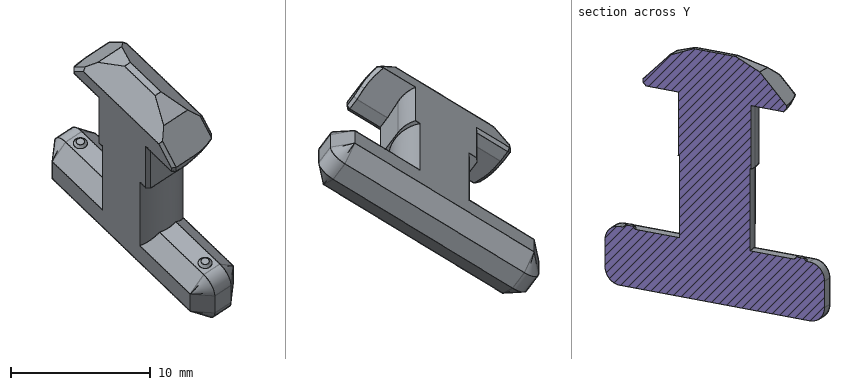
import cadquery as cq
import math

thickness = 4.0
total_height = 19.05
half_thickness = thickness / 2

foot_length = 18.0
foot_height = 4.5
foot_bevel = 1.25

pip_spacing = 14.0
pip_radius = 0.5
pip_height = 0.2

neck_radius = 2.9
shank_half_width = 3.0
shank_bottom = 10.7
shank_round_start = 0.5
shank_front_half_width = 2.5

head_radius = 5.88
head_bottom = 15.28
head_end_top = 16.03
head_shoulder_x = 3.7
head_crest_half_length = 1.72
head_crest_half_width = 0.27
edge_chamfer = 0.25
end_round_depth = head_radius - math.sqrt(head_radius**2 - half_thickness**2)

ramp_start = 0.83
ramp_angle = math.radians(15)
ramp_rise = (half_thickness + ramp_start) * math.tan(ramp_angle)

tolerance = 1e-4


def both_ways(shape):
    """Join a shape with its copy turned half a turn about Z."""
    return shape.union(shape.rotate((0, 0, 0), (0, 0, 1), 180))


def box_between(x0, x1, y0, y1, z0, z1):
    """Box given by its limits along each axis."""
    box = cq.Workplane("XY").box(x1 - x0, y1 - y0, z1 - z0, centered=False)
    return box.translate((x0, y0, z0))


def bevelled_bar(plane, width, length):
    """Bar extruded both ways from the plane, its four long edges bevelled."""
    bar = cq.Workplane(plane).rect(thickness, width).extrude(length / 2, both=True)
    lengthwise = {"YZ": "|X", "YX": "|Z"}[plane]
    return bar.edges(lengthwise).chamfer(foot_bevel)


def make_foot():
    """Bevelled bar with rounded ends; each corner is a quarter double cone about Y."""
    corner_x = foot_length / 2 - foot_bevel
    corner_z = foot_height / 2 - foot_bevel
    rim_y = half_thickness - foot_bevel
    foot = bevelled_bar("YZ", foot_height, 2 * corner_x)
    foot = foot.union(bevelled_bar("YX", foot_length, 2 * corner_z))
    corner = (
        cq.Workplane("XY")
        .moveTo(0, -half_thickness)
        .lineTo(foot_bevel, -rim_y)
        .lineTo(foot_bevel, rim_y)
        .lineTo(0, half_thickness)
        .close()
        .revolve(90, (0, 0, 0), (0, 1, 0))
    )
    corners = [(1, -1, 0), (-1, -1, 90), (-1, 1, 180), (1, 1, 270)]
    for x_side, z_side, turn in corners:
        turned = corner.rotate((0, 0, 0), (0, 1, 0), turn)
        foot = foot.union(turned.translate((x_side * corner_x, 0, z_side * corner_z)))
    return foot.translate((0, 0, foot_height / 2))


def make_pip():
    """Small 45 degree cone frustum standing on the foot top."""
    cone = cq.Solid.makeCone(pip_radius, pip_radius - pip_height, pip_height)
    return cq.Workplane(cone).translate((pip_spacing / 2, 0, foot_height))


def make_neck():
    """Round neck with flats on both faces."""
    base = foot_height / 2
    neck = cq.Workplane("XY").workplane(offset=base).circle(neck_radius).extrude(shank_bottom - base)
    flats = box_between(-neck_radius, neck_radius, -half_thickness, half_thickness, 0, shank_bottom)
    return neck.intersect(flats)


def make_shank():
    """Upper stem: two opposite corners rounded, the other two chamfered."""
    run = half_thickness - shank_round_start
    inset = shank_half_width - shank_front_half_width
    round_radius = (run**2 + inset**2) / (2 * inset)
    half_sweep = math.asin(run / round_radius) / 2
    mid_x = shank_half_width - round_radius * (1 - math.cos(half_sweep))
    mid_y = shank_round_start + round_radius * math.sin(half_sweep)
    chamfer_x = shank_half_width - edge_chamfer
    chamfer_y = half_thickness - edge_chamfer
    shank_top = head_bottom + 2 * ramp_rise
    return (
        cq.Workplane("XY")
        .workplane(offset=shank_bottom)
        .moveTo(chamfer_x, -half_thickness)
        .lineTo(shank_half_width, -chamfer_y)
        .lineTo(shank_half_width, shank_round_start)
        .threePointArc((mid_x, mid_y), (shank_front_half_width, half_thickness))
        .lineTo(-chamfer_x, half_thickness)
        .lineTo(-shank_half_width, chamfer_y)
        .lineTo(-shank_half_width, -shank_round_start)
        .threePointArc((-mid_x, -mid_y), (-shank_front_half_width, -half_thickness))
        .close()
        .extrude(shank_top - shank_bottom)
    )


def on_chamfered_rim(edge):
    """Tell whether a wing edge belongs to the chamfered rim."""
    middle = edge.positionAt(0.5)
    on_front = middle.y < tolerance - half_thickness
    on_rear = middle.y > half_thickness - tolerance
    if on_front or on_rear:
        on_slope_or_end = middle.x > head_shoulder_x
        on_front_bottom = on_front and middle.x > tolerance and middle.z < head_bottom + tolerance
        return on_slope_or_end or on_front_bottom
    on_end = middle.x > head_radius - end_round_depth
    below_slope = middle.x + middle.z < head_radius + head_end_top - edge_chamfer
    return on_end and below_slope and abs(edge.tangentAt(0.5).z) < 1 - tolerance


def make_right_wing():
    """The +X half of the head; its underside ramps up towards +Y."""
    shoulder_z = head_end_top + head_radius - head_shoulder_x
    wing = (
        cq.Workplane("XZ")
        .moveTo(0, head_bottom)
        .lineTo(head_radius, head_bottom)
        .lineTo(head_radius, head_end_top)
        .lineTo(head_shoulder_x, shoulder_z)
        .lineTo(head_crest_half_length, total_height)
        .lineTo(0, total_height)
        .close()
        .extrude(half_thickness, both=True)
    )

    disc = cq.Workplane("XY").workplane(offset=head_bottom).circle(head_radius)
    disc = disc.extrude(total_height - head_bottom)
    square_side = box_between(0, head_radius, -half_thickness, 0, head_bottom, total_height)
    wing = wing.intersect(disc.union(square_side))

    ramp = (
        cq.Workplane("YZ")
        .moveTo(-ramp_start, head_bottom)
        .lineTo(half_thickness, head_bottom)
        .lineTo(half_thickness, head_bottom + ramp_rise)
        .close()
        .extrude(head_radius)
    )
    wing = wing.cut(ramp)

    rim = [edge for edge in wing.edges().vals() if on_chamfered_rim(edge)]
    wing = wing.newObject(rim).chamfer(edge_chamfer)

    eave_z = total_height - (half_thickness - head_crest_half_width)
    roof = (
        cq.Workplane("YZ")
        .moveTo(-half_thickness, head_bottom)
        .lineTo(-half_thickness, eave_z)
        .lineTo(-head_crest_half_width, total_height)
        .lineTo(head_crest_half_width, total_height)
        .lineTo(half_thickness, eave_z)
        .lineTo(half_thickness, head_bottom)
        .close()
        .extrude(head_radius)
    )
    return wing.intersect(roof)


head = both_ways(make_right_wing())
stem = make_neck().union(make_shank())
result = make_foot().union(both_ways(make_pip())).union(stem).union(head)